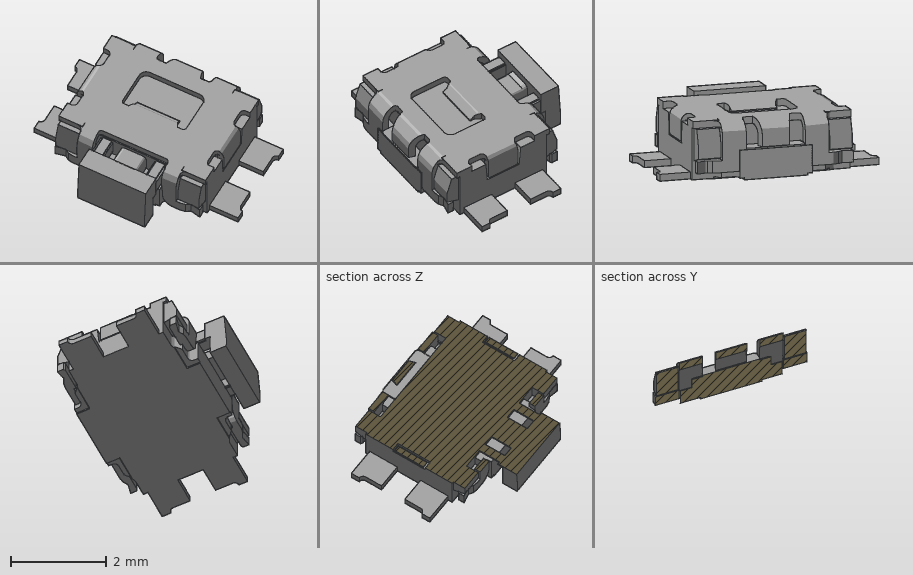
import cadquery as cq

sheet = 0.15
total_height = 1.27
cover_bottom = total_height - sheet
body_half_x = 1.745
housing_half_y = 1.1
cover_half_y = 1.175

skirt_half_x = 1.18
skirt_face_y = 1.42
skirt_roll = 0.35
corner_relief = 0.1
leg_inner_x = 0.825
leg_toe_x = 0.86
leg_toe_z = 0.485
leg_bottom = 0.19
leg_corner = 0.242
gap_corner = 0.075
foot_half_x = 1.28
foot_top = 0.445
foot_inner_y = 1.215
foot_bend_x = 1.39
foot_bend_y = 1.4
foot_jog_start_x = 1.49
foot_jog_end_x = 1.525
foot_jog_y = 1.345
foot_tip_x = 1.72
foot_tip_y = 1.385
foot_tip_inner_y = 1.245
foot_tip_bevel = 0.05

rear_opening_half_x = 0.65
rear_opening_y = 1.085
rear_opening_corner = 0.075
tongue_root_half_x = 0.405
tongue_tip_half_x = 0.3
tongue_bottom = 0.68
ledge_bottom = 0.645
ledge_back_y = 1.455

side_notch_half_y = 0.795
side_notch_x = 1.55
side_notch_corner = 0.095
side_tab_half_y = 0.37
side_tab_bottom = 0.675
side_roll = body_half_x - side_notch_x
tab_flare = 0.095
tab_tip_corner = 0.03
side_slot_half_y = 0.403
side_slot_mouth_half_y = 0.44
side_slot_depth = 0.185
side_slot_bottom = 0.645

window_half_x = 0.755
window_rear_y = 0.715
window_front_y = -0.245
window_rear_corner = 0.165
window_front_corner = 0.075
lip_root_half_x = 0.58
lip_half_x = 0.505
lip_bend_y = -0.11
lip_tip_y = -0.005
lip_bend_z = 1.212
lip_tip_z = 1.145
lip_bend_radius = 0.17

block_half_x = 0.8
block_face_y = 1.445
block_top = 0.645
plinth_face_y = 1.255
plinth_inner_y = 1.14
plinth_half_x = 1.15
plinth_slope_x = 1.285
plinth_root_x = 1.41
plinth_arc = 0.225
plinth_fillet = 0.1
relief_inner_x = 0.7
relief_inner_y = 1.14
relief_height = 0.045

corner_outer_x = 1.7
corner_inner_x = 1.205
corner_top_y = 1.28
corner_face_y = 1.39
corner_face_top = 0.77
corner_face_bottom = 0.505
corner_root_bottom = 0.41

lead_tip_x = 2.425
lead_edge_x = 2.33
lead_outer_y = 1.0
lead_inner_y = 0.295
lead_step_y = 0.795

button_half_x = 0.795
button_top = 1.24
button_bottom = 0.085
button_back_y = -1.6
button_step_y = -1.725
button_step_z = 0.68
button_top_front_y = -2.05
button_front_y = -2.105
button_break_z = 0.385
button_edge_z = 0.13
button_edge_y = -2.095
rail_inner_x = 0.5
rail_outer_x = 0.78
rail_top = 1.08
rail_outer_step = 0.045
rail_step_z = 0.04
rail_inner_step = 0.03
stem_half_x = 0.3
stem_top = 1.045
stem_bottom = 0.68
stem_round = 0.1
stem_ramp_y = -1.495
stem_ramp_rise = 0.04


def box(x0, x1, y0, y1, z0, z1):
    return cq.Workplane("XY").box(x1 - x0, y1 - y0, z1 - z0, centered=False).translate((x0, y0, z0))


def prism_z(points, z0, z1):
    return cq.Workplane("XY").workplane(offset=z0).polyline(points).close().extrude(z1 - z0)


def prism_x(points, x0, x1):
    """Extrude a (Y, Z) outline from x0 to x1."""
    return cq.Workplane("YZ").workplane(offset=x0).polyline(points).close().extrude(x1 - x0)


def prism_y(points, y0, y1):
    """Extrude an (X, Z) outline from y0 to y1."""
    return cq.Workplane("XZ").workplane(offset=-y0).polyline(points).close().extrude(y0 - y1)


def both_sides(solid):
    return solid.union(solid.mirror("YZ"))


def four_corners(solid):
    half = both_sides(solid)
    return half.union(half.mirror("XZ"))


def rolled_sheet(half_width, roll, bottom, half_length, axis):
    """Inverted U of sheet with rounded upper edges, open below, running along the given axis."""
    outer = box(-half_width, half_width, -half_length, half_length, bottom, total_height)
    outer = outer.edges("|Y and >Z").fillet(roll)
    inner_half = half_width - sheet
    inner = box(-inner_half, inner_half, -half_length, half_length, bottom, cover_bottom)
    inner = inner.edges("|Y and >Z").fillet(roll - sheet)
    shell = outer.cut(inner)
    if axis == "X":
        shell = shell.rotate((0, 0, 0), (0, 0, 1), 90)
    return shell


def make_cover_top():
    """Flat cover with rolled front and rear skirts, before the openings are cut."""
    plate = box(-body_half_x, body_half_x, -cover_half_y, cover_half_y, cover_bottom, total_height)
    roll_start_y = skirt_face_y - skirt_roll
    rolled_strip = box(-skirt_half_x, skirt_half_x, roll_start_y, cover_half_y, cover_bottom, total_height)
    plate = plate.cut(rolled_strip).cut(rolled_strip.mirror("XZ"))
    plan = box(-skirt_half_x, skirt_half_x, -skirt_face_y, skirt_face_y, 0, total_height)
    plan = plan.union(box(-body_half_x, body_half_x, -cover_half_y, cover_half_y, 0, total_height))
    margin = 0.05
    inside_corners = cq.selectors.BoxSelector(
        (-skirt_half_x - margin, -cover_half_y - margin, 0),
        (skirt_half_x + margin, cover_half_y + margin, total_height),
    )
    plan = plan.edges("|Z").edges(inside_corners).fillet(corner_relief)
    skirts = rolled_sheet(skirt_face_y, skirt_roll, leg_bottom, body_half_x, "X").intersect(plan)
    lower_side = box(skirt_half_x, body_half_x, -skirt_face_y, skirt_face_y, 0, cover_bottom)
    return plate.union(skirts.cut(both_sides(lower_side)))


def cut_front_opening(cover):
    """Gap between the two front legs for the button, rounded at the leg toes."""
    roll_end_z = total_height - skirt_roll
    half_gap = prism_y(
        [
            (0, 0),
            (leg_toe_x, 0),
            (leg_toe_x, leg_toe_z),
            (leg_inner_x, roll_end_z),
            (leg_inner_x, total_height),
            (0, total_height),
        ],
        -skirt_face_y,
        skirt_roll - skirt_face_y,
    )
    gap = both_sides(half_gap).edges("|Z and >Y").edges("<X or >X").fillet(gap_corner)
    toe = box(leg_toe_x, leg_toe_x + leg_corner, -skirt_face_y, -housing_half_y,
              leg_bottom, leg_bottom + leg_corner)
    toe_round = (
        cq.Workplane("XZ", origin=(leg_toe_x + leg_corner, 0, leg_bottom + leg_corner))
        .circle(leg_corner)
        .extrude(skirt_face_y)
    )
    return cover.cut(gap).cut(both_sides(toe.cut(toe_round)))


def cut_rear_opening(cover):
    """Opening in the rear skirt that leaves a tapered tongue in the middle."""
    opening = box(-rear_opening_half_x, rear_opening_half_x, rear_opening_y, skirt_face_y, 0, total_height)
    opening = opening.edges("|Z and <Y").fillet(rear_opening_corner)
    tongue = prism_z(
        [
            (-tongue_root_half_x, rear_opening_y),
            (tongue_root_half_x, rear_opening_y),
            (tongue_tip_half_x, skirt_face_y),
            (-tongue_tip_half_x, skirt_face_y),
        ],
        tongue_bottom,
        total_height,
    )
    return cover.cut(opening.cut(tongue))


def make_side_tabs():
    strip = box(side_notch_x, body_half_x, -side_tab_half_y, side_tab_half_y, 0, total_height)
    flare_end = side_tab_half_y + tab_flare
    flare_x = side_notch_x + tab_flare
    flare = box(side_notch_x, flare_x, -flare_end, flare_end, cover_bottom, total_height)
    flare_cut = cq.Workplane("XY").pushPoints(
        [(flare_x, -flare_end), (flare_x, flare_end)]
    ).circle(tab_flare).extrude(total_height)
    plan = both_sides(strip.union(flare.cut(flare_cut)))
    tabs = rolled_sheet(body_half_x, side_roll, side_tab_bottom, side_notch_half_y, "Y").intersect(plan)
    return tabs.edges("|X and <Z").fillet(tab_tip_corner)


def cut_side_notches(cover):
    notch = box(side_notch_x, body_half_x, -side_notch_half_y, side_notch_half_y, cover_bottom, total_height)
    notch = notch.edges("|Z and <X").fillet(side_notch_corner)
    return cover.cut(both_sides(notch))


def cut_window(cover):
    window = box(-window_half_x, window_half_x, window_front_y, window_rear_y, cover_bottom, total_height)
    window = window.edges("|Z and >Y").fillet(window_rear_corner)
    window = window.edges("|Z and <Y").fillet(window_front_corner)
    lip_plan = prism_z(
        [
            (-lip_root_half_x, window_front_y),
            (-lip_half_x, lip_bend_y),
            (-lip_half_x, lip_tip_y),
            (lip_half_x, lip_tip_y),
            (lip_half_x, lip_bend_y),
            (lip_root_half_x, window_front_y),
        ],
        cover_bottom,
        total_height,
    )
    lip_profile = (
        cq.Workplane("YZ", origin=(-lip_root_half_x, 0, 0))
        .moveTo(window_front_y, total_height)
        .radiusArc((lip_bend_y, lip_bend_z), lip_bend_radius)
        .lineTo(lip_tip_y, lip_tip_z)
        .lineTo(lip_tip_y, cover_bottom)
        .lineTo(window_front_y, cover_bottom)
        .close()
        .extrude(2 * lip_root_half_x)
    )
    return cover.cut(window.cut(lip_plan.intersect(lip_profile)))


def make_feet():
    """Clip feet running outward from the legs, with a jogged tip."""
    foot = prism_z(
        [
            (skirt_half_x, skirt_face_y),
            (foot_half_x, skirt_face_y),
            (foot_bend_x, foot_bend_y),
            (foot_jog_start_x, foot_jog_y),
            (foot_jog_end_x, foot_jog_y),
            (foot_tip_x, foot_tip_y),
            (foot_tip_x, foot_tip_inner_y),
            (foot_tip_x - foot_tip_bevel, foot_inner_y),
            (skirt_half_x, foot_inner_y),
        ],
        leg_bottom,
        foot_top,
    )
    return four_corners(foot)


def make_housing():
    housing = box(-body_half_x, body_half_x, -housing_half_y, housing_half_y, 0, cover_bottom)
    slot = prism_x(
        [
            (-side_slot_half_y, side_slot_bottom),
            (side_slot_half_y, side_slot_bottom),
            (side_slot_mouth_half_y, cover_bottom),
            (-side_slot_mouth_half_y, cover_bottom),
        ],
        body_half_x - side_slot_depth,
        body_half_x,
    )
    return housing.cut(both_sides(slot))


def make_corner_blocks():
    block = prism_x(
        [
            (housing_half_y, cover_bottom),
            (corner_top_y, cover_bottom),
            (corner_face_y, corner_face_top),
            (corner_face_y, corner_face_bottom),
            (housing_half_y, corner_root_bottom),
        ],
        corner_inner_x,
        corner_outer_x,
    )
    return four_corners(block)


def make_base():
    """Central blocks and side plinths that carry the skirts and the button."""
    block = box(-block_half_x, block_half_x, -block_face_y, block_face_y, 0, block_top)
    plinth = (
        cq.Workplane("XY")
        .moveTo(0, 0)
        .lineTo(plinth_root_x, 0)
        .lineTo(plinth_root_x, housing_half_y)
        .radiusArc((plinth_slope_x, plinth_inner_y), plinth_arc)
        .lineTo(plinth_half_x, plinth_face_y)
        .lineTo(0, plinth_face_y)
        .close()
        .extrude(corner_root_bottom)
    )
    fillet_edge = block_half_x + plinth_fillet
    fillet_end_y = plinth_face_y + plinth_fillet
    cove = box(block_half_x, fillet_edge, housing_half_y, fillet_end_y, 0, block_top)
    cove_cut = (
        cq.Workplane("XY", origin=(fillet_edge, fillet_end_y, 0)).circle(plinth_fillet).extrude(block_top)
    )
    relief = box(relief_inner_x, foot_half_x, relief_inner_y, block_face_y, 0, relief_height)
    supports = four_corners(plinth.union(cove.cut(cove_cut)))
    ledge = box(-rear_opening_half_x, rear_opening_half_x, 0, ledge_back_y, ledge_bottom, tongue_bottom)
    ledge = ledge.edges("|Z and >Y").fillet(rear_opening_corner)
    return block.union(supports).cut(four_corners(relief)).union(ledge)


def make_leads():
    lead = (
        cq.Workplane("XY")
        .moveTo(side_notch_x, lead_inner_y)
        .lineTo(lead_edge_x, lead_inner_y)
        .lineTo(lead_edge_x, lead_step_y - (lead_tip_x - lead_edge_x))
        .radiusArc((lead_tip_x, lead_step_y), lead_tip_x - lead_edge_x)
        .lineTo(lead_tip_x, lead_outer_y)
        .lineTo(side_notch_x, lead_outer_y)
        .close()
        .extrude(sheet)
    )
    return four_corners(lead)


def make_button():
    cap = prism_x(
        [
            (button_back_y, button_top),
            (button_top_front_y, button_top),
            (button_front_y, button_break_z),
            (button_front_y, button_edge_z),
            (button_edge_y, button_bottom),
            (button_step_y, button_bottom),
            (button_step_y, button_step_z),
            (button_back_y, button_step_z),
        ],
        -button_half_x,
        button_half_x,
    )
    web = box(rail_inner_x + rail_inner_step, rail_outer_x - rail_outer_step,
              button_back_y, -housing_half_y, stem_bottom, rail_top)
    flange = box(rail_inner_x, rail_outer_x, button_back_y, -housing_half_y,
                 stem_bottom + rail_step_z, rail_top - rail_step_z)
    rail = web.union(flange)
    stem = prism_x(
        [
            (-housing_half_y, stem_top),
            (stem_ramp_y, stem_top),
            (button_back_y, stem_top + stem_ramp_rise),
            (button_back_y, stem_bottom),
            (-housing_half_y, stem_bottom),
        ],
        -stem_half_x,
        stem_half_x,
    )
    upper_edges = cq.selectors.BoxSelector(
        (-button_half_x, button_back_y, stem_top - stem_round), (button_half_x, 0, button_top)
    )
    stem = stem.edges("<X or >X").edges(upper_edges).fillet(stem_round)
    return cap.union(both_sides(rail)).union(stem)


cover = cut_window(cut_side_notches(cut_rear_opening(cut_front_opening(make_cover_top()))))
cover = cover.union(make_side_tabs()).union(make_feet())
housing = make_housing().union(make_corner_blocks()).union(make_base())
result = housing.union(cover).union(make_leads()).union(make_button())